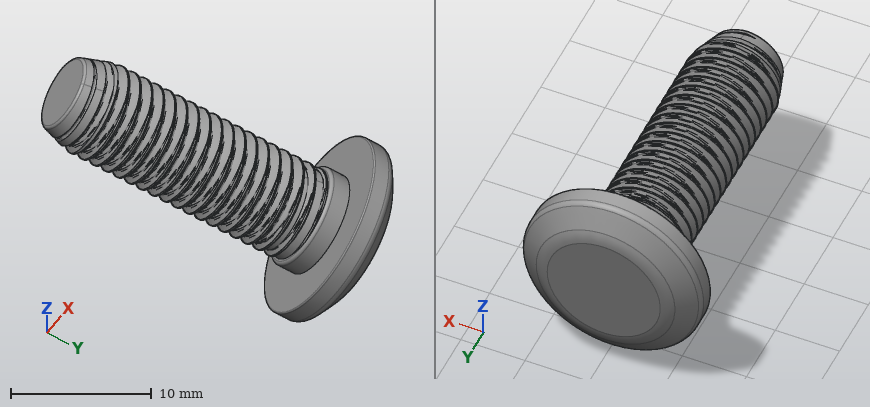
import cadquery as cq
import math

length = 25.0

head_height = 3.0
head_radius = 7.0
head_edge_fillet = 0.1
top_flat_radius = 4.4
crown_radius = 5.4
crown_depth = 0.32
crown_bulge = 0.062
dome_radius = 6.8
dome_depth = 1.3
dome_bulge = 0.02
rim_depth = 1.75
rim_bulge = 0.05

shoulder_radius = 3.9
shoulder_end = 4.6
shoulder_fillet = 0.25

crest_radius = 3.6
root_radius = 2.95
pitch = 1.0
crest_width = 0.15
flank_angle = 30.0
thread_start = 3.75
flank_samples = 6
runout_radius = 3.48
runout_end = 7.0
runout_overlap = 0.05

tip_radius = 2.75
cone_offset = 0.15
cone_tip_radius = tip_radius + cone_offset
lobe_angles = (90, 210, 330)
tip_taper = 17.5
tip_fillet = 0.22
envelope_radius = crest_radius + 0.5
taper_length = (envelope_radius - cone_tip_radius) / math.tan(math.radians(tip_taper))


def bulged_point(start, end, bulge):
    """Middle of the chord from start to end, pushed outward by bulge."""
    run = end[0] - start[0]
    drop = end[1] - start[1]
    chord = math.hypot(run, drop)
    middle_radius = (start[0] + end[0]) / 2 + bulge * drop / chord
    middle_depth = (start[1] + end[1]) / 2 - bulge * run / chord
    return (middle_radius, middle_depth)


def spin(profile):
    """Revolve a (radius, depth) half profile about the screw axis."""
    return profile.close().revolve(360, (0, 0, 0), (0, 1, 0))


def make_head():
    flat_edge = (top_flat_radius, 0)
    crown_edge = (crown_radius, crown_depth)
    dome_edge = (dome_radius, dome_depth)
    rim = (head_radius, rim_depth)
    profile = (
        cq.Workplane("XZ")
        .lineTo(*flat_edge)
        .threePointArc(bulged_point(flat_edge, crown_edge, crown_bulge), crown_edge)
        .threePointArc(bulged_point(crown_edge, dome_edge, dome_bulge), dome_edge)
        .threePointArc(bulged_point(dome_edge, rim, rim_bulge), rim)
        .lineTo(head_radius, head_height)
        .lineTo(0, head_height)
    )
    return spin(profile).faces(">Z").edges().fillet(head_edge_fillet)


def make_shoulder():
    shoulder = cq.Workplane("XY").circle(shoulder_radius).extrude(shoulder_end)
    shoulder = shoulder.faces(">Z").edges().fillet(shoulder_fillet)
    under_head = cq.Workplane("XY").workplane(offset=head_height / 2)
    return shoulder.intersect(under_head.circle(head_radius).extrude(length))


def make_runout():
    """Core taper under the shoulder, carried on at the same slope until it lies below the root."""
    slope = (runout_radius - root_radius) / (runout_end - shoulder_end)
    buried_radius = root_radius - runout_overlap
    profile = (
        cq.Workplane("XZ")
        .moveTo(0, head_height)
        .lineTo(runout_radius, head_height)
        .lineTo(runout_radius, shoulder_end)
        .lineTo(buried_radius, runout_end + runout_overlap / slope)
        .lineTo(0, runout_end + runout_overlap / slope)
    )
    return spin(profile)


def make_thread_piece(start, end):
    """Twist the cross-section of a single-start thread along the axis.

    Around one turn the cross-section follows the crest, a flank, the root and the other flank.
    """
    flank_run = (crest_radius - root_radius) * math.tan(math.radians(flank_angle))
    turn_per_length = 2 * math.pi / pitch
    crest_end = crest_width / 2 * turn_per_length
    root_begin = crest_end + flank_run * turn_per_length

    def polar(radius, angle):
        return (radius * math.cos(angle), radius * math.sin(angle))

    def flank_point(t):
        return polar(crest_radius + t * (root_radius - crest_radius), crest_end + t * (root_begin - crest_end))

    def mirrored_flank_point(t):
        x, y = flank_point(1 - t)
        return (x, -y)

    thread_length = end - start
    return (
        cq.Workplane("XY")
        .moveTo(*polar(crest_radius, -crest_end))
        .threePointArc(polar(crest_radius, 0), polar(crest_radius, crest_end))
        .parametricCurve(flank_point, N=flank_samples, makeWire=False)
        .threePointArc(polar(root_radius, math.pi), polar(root_radius, -root_begin))
        .parametricCurve(mirrored_flank_point, N=flank_samples, makeWire=False)
        .wire()
        .twistExtrude(thread_length, 360 * thread_length / pitch)
        .translate((0, 0, start))
    )


def make_tip_envelope():
    profile = (
        cq.Workplane("XZ")
        .lineTo(envelope_radius, 0)
        .lineTo(envelope_radius, length - taper_length)
        .lineTo(cone_tip_radius, length)
        .lineTo(0, length)
    )
    cone = spin(profile).faces(">Z").edges().fillet(tip_fillet).translate((cone_offset, 0, 0))
    lobes = [cone.rotate((0, 0, 0), (0, 0, 1), angle) for angle in lobe_angles]
    return lobes[0].intersect(lobes[1]).intersect(lobes[2])


def make_thread_turns():
    """Threaded rod from inside the shoulder to the point, as one solid per turn."""
    envelope = make_tip_envelope()
    turns = []
    for index in range(math.ceil((length - thread_start) / pitch)):
        start = thread_start + index * pitch
        end = min(start + pitch, length)
        piece = make_thread_piece(start, end)
        if end > length - taper_length:
            piece = piece.intersect(envelope)
        turns.append(piece.val())
    return turns


screw = make_head().union(make_shoulder()).union(make_runout())
screw = screw.val().fuse(*make_thread_turns()).clean()

result = cq.Workplane("XY").add(screw.Solids()[0]).rotate((0, 0, 0), (1, 0, 0), 90)